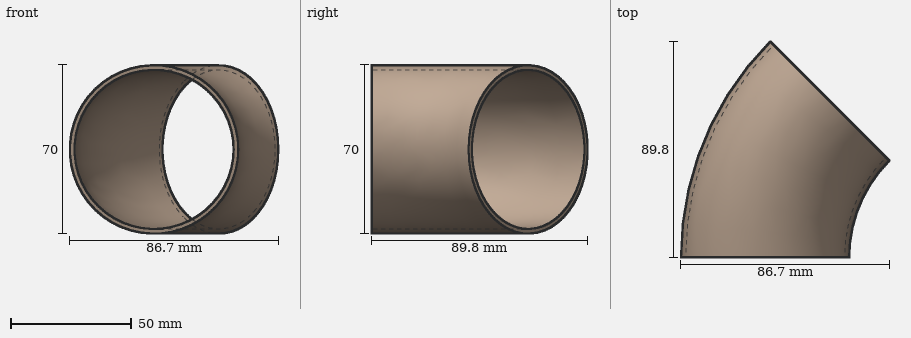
import cadquery as cq
import math

bend_angle = 45.0
reach = 89.8
outer_diameter = 70.0
wall = 2.0

outer_radius = outer_diameter / 2
inner_radius = outer_radius - wall
bend_radius = reach / math.sin(math.radians(bend_angle)) - outer_radius


def elbow():
    """Pipe ring on the XZ plane, turned clockwise about a vertical axis on its +X side."""
    ring = cq.Workplane("XZ").circle(outer_radius).circle(inner_radius)
    return ring.revolve(bend_angle, (bend_radius, 0, 0), (bend_radius, -1, 0))


result = elbow()